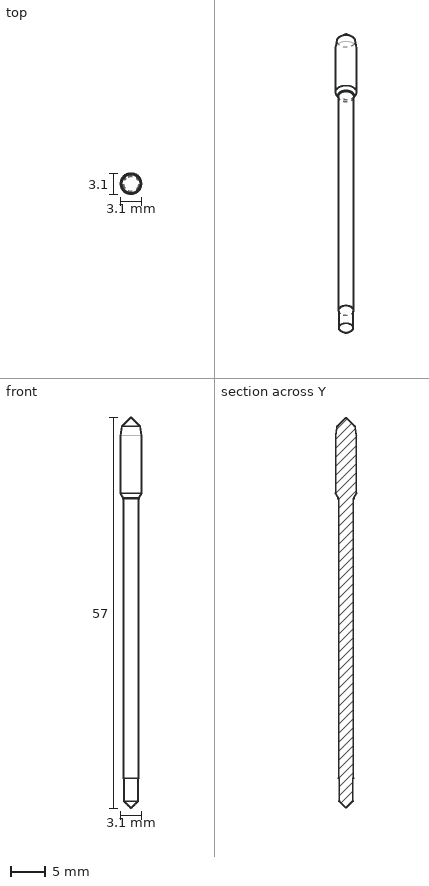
import cadquery as cq

total_length = 56.95

head_diameter = 3.1
head_nose_diameter = 2.7
head_taper_bottom = 54.3
head_bottom = 45.85
shoulder_height = 0.6
shoulder_diameter = 2.4
collar_height = 0.15

rod_diameter = 2.2
end_diameter = 2.1
end_top = 4.4

head_radius = head_diameter / 2
nose_radius = head_nose_diameter / 2
shoulder_radius = shoulder_diameter / 2
rod_radius = rod_diameter / 2
end_radius = end_diameter / 2
shoulder_bottom = head_bottom - shoulder_height
collar_bottom = shoulder_bottom - collar_height

nose_base = total_length - nose_radius
end_base = end_radius

profile = (
    cq.Workplane("XZ")
    .moveTo(0, 0)
    .lineTo(end_radius, end_base)
    .lineTo(end_radius, end_top)
    .lineTo(rod_radius, end_top)
    .lineTo(rod_radius, collar_bottom)
    .lineTo(shoulder_radius, collar_bottom)
    .lineTo(shoulder_radius, shoulder_bottom)
    .lineTo(head_radius, head_bottom)
    .lineTo(head_radius, head_taper_bottom)
    .lineTo(nose_radius, nose_base)
    .lineTo(0, total_length)
    .close()
)

result = profile.revolve(360, (0, 0, 0), (0, 1, 0))